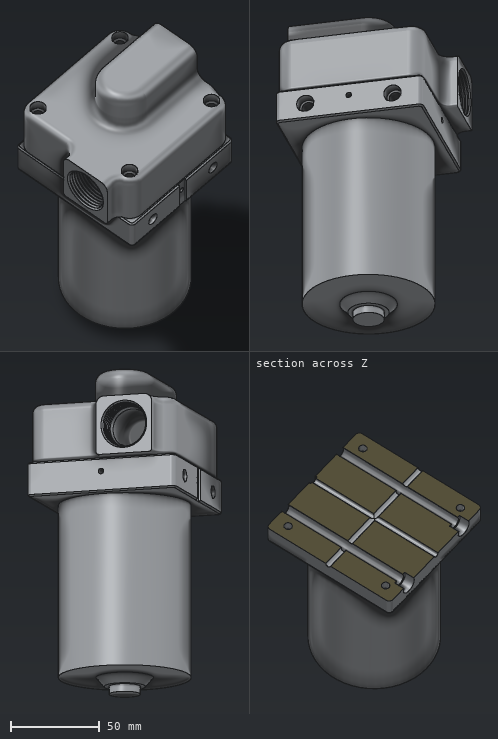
import cadquery as cq
import math


HEAD_HALF_X = 43.0
BACK_Y = 42.8
HEAD_HEIGHT = 33.4
HEAD_CORNER_R = 9.0
HEAD_TOP_R = 4.6
HEAD_BOTTOM_R = 1.7
FLARE_R = 5.9
TRIM_MARGIN = 11.0

BOSS_WIDTH = 33.0
BOSS_FRONT_Y = -51.6
PORT_X = BOSS_WIDTH / 2
PORT_Z = HEAD_HEIGHT / 2
PORT_MOUTH_D = 27.1
PORT_BORE_D = 22.5
PORT_DEPTH = 36.9
PORT_FLOOR_R = 3.1
THREAD_PITCH = 1.8
THREAD_COUNT = 8
THREAD_HEIGHT = 1.0
THREAD_TAPER = 0.1

DOME_HALF_WIDTH = 16.6
DOME_HEIGHT = 23.2
DOME_R = 6.5

PLATE_LENGTH_X = 88.0
PLATE_LENGTH_Y = 2 * BACK_Y
PLATE_THICKNESS = 19.5
PLATE_CORNER_R = 2.8
PLATE_CHAMFER = 1.0
NOTCH_WIDTH = 5.5
NOTCH_DEPTH = 1.1

SPIGOT_R = 30.6
SPIGOT_HEIGHT = 8.5
RECESS_DEPTH = 9.5

MOUNT_SPACING = 50.7
MOUNT_HOLE_D = 7.0
MOUNT_CBORE_D = 10.0
MOUNT_CBORE_DEPTH = 6.5
VENT_D = 3.1
VENT_Z = -7.7

SCREW_SPACING = 69.2
SCREW_CBORE_D = 9.2
SCREW_CBORE_DEPTH = 5.7
SCREW_CLEARANCE_D = 5.5
SCREW_TAP_D = 4.5
SCREW_TAP_DEPTH = 14.8

BOWL_R = 37.5
BOWL_LENGTH = 98.7
CONE_TOP_R = 16.2
CONE_BOTTOM_R = 11.6
CONE_HEIGHT = 5.2
DRAIN_R = 8.9
DRAIN_LENGTH = 4.5


def head_outline():
    """Rounded block with a flared boss at the front and a wider one at the back, both too long."""
    front_end = BOSS_FRONT_Y - TRIM_MARGIN
    back_end = BACK_Y + TRIM_MARGIN
    diagonal = math.sqrt(0.5)
    corner_x = HEAD_HALF_X - HEAD_CORNER_R
    corner_y = BACK_Y - HEAD_CORNER_R
    corner_mid_x = corner_x + HEAD_CORNER_R * diagonal
    corner_mid_y = corner_y + HEAD_CORNER_R * diagonal
    back_half = corner_x - FLARE_R
    flare_y = BACK_Y + FLARE_R
    flare_mid = FLARE_R * (1 - diagonal)

    flare_x = BOSS_WIDTH + FLARE_R
    reach = HEAD_CORNER_R + FLARE_R
    right_flare_y = -corner_y - math.sqrt(reach**2 - (flare_x - corner_x) ** 2)
    touch_angle = math.atan2(right_flare_y + corner_y, flare_x - corner_x)
    touch = (
        corner_x + HEAD_CORNER_R * math.cos(touch_angle),
        -corner_y + HEAD_CORNER_R * math.sin(touch_angle),
    )
    corner_angle = touch_angle / 2
    right_corner_mid = (
        corner_x + HEAD_CORNER_R * math.cos(corner_angle),
        -corner_y + HEAD_CORNER_R * math.sin(corner_angle),
    )
    flare_angle = touch_angle / 2 + math.pi
    right_flare_mid = (
        flare_x + FLARE_R * math.cos(flare_angle),
        right_flare_y + FLARE_R * math.sin(flare_angle),
    )

    return (
        cq.Workplane("XY")
        .moveTo(0, front_end)
        .lineTo(BOSS_WIDTH, front_end)
        .lineTo(BOSS_WIDTH, right_flare_y)
        .threePointArc(right_flare_mid, touch)
        .threePointArc(right_corner_mid, (HEAD_HALF_X, -corner_y))
        .lineTo(HEAD_HALF_X, corner_y)
        .threePointArc((corner_mid_x, corner_mid_y), (corner_x, BACK_Y))
        .threePointArc((back_half + flare_mid, BACK_Y + flare_mid), (back_half, flare_y))
        .lineTo(back_half, back_end)
        .lineTo(-back_half, back_end)
        .lineTo(-back_half, flare_y)
        .threePointArc((-back_half - flare_mid, BACK_Y + flare_mid), (-corner_x, BACK_Y))
        .threePointArc((-corner_mid_x, corner_mid_y), (-HEAD_HALF_X, corner_y))
        .lineTo(-HEAD_HALF_X, -corner_y)
        .threePointArc((-corner_mid_x, -corner_mid_y), (-corner_x, -BACK_Y))
        .lineTo(-FLARE_R, -BACK_Y)
        .threePointArc((-flare_mid, -BACK_Y - flare_mid), (0, -flare_y))
        .close()
    )


def dome_half_section():
    """Section of the dome from the main axis outwards, with its concave foot on the head."""
    shoulder = DOME_HALF_WIDTH - DOME_R
    foot = DOME_HALF_WIDTH + DOME_R
    rise = DOME_R * math.sqrt(0.5)
    top_z = HEAD_HEIGHT + DOME_HEIGHT
    low_z = HEAD_HEIGHT + DOME_R
    return (
        cq.Workplane("XZ")
        .moveTo(0, HEAD_HEIGHT - RECESS_DEPTH)
        .lineTo(0, top_z)
        .lineTo(shoulder, top_z)
        .threePointArc((shoulder + rise, top_z - DOME_R + rise), (DOME_HALF_WIDTH, top_z - DOME_R))
        .lineTo(DOME_HALF_WIDTH, low_z)
        .threePointArc((foot - rise, low_z - rise), (foot, HEAD_HEIGHT))
        .lineTo(foot, HEAD_HEIGHT - RECESS_DEPTH)
        .close()
    )


def dome():
    """Ridge along Y from the back face, with a round nose centred on the main axis."""
    nose = dome_half_section().revolve(360, (0, 0), (0, 1))
    half_ridge = dome_half_section().extrude(-BACK_Y)
    return nose.union(half_ridge).union(half_ridge.mirror("YZ"))


def port_cutter():
    """Bore along Y with a tapering row of ring grooves and a rounded floor."""
    mouth_r = PORT_MOUTH_D / 2
    bore_r = PORT_BORE_D / 2
    floor_mid = PORT_FLOOR_R * (1 - math.sqrt(0.5))
    profile = cq.Workplane("XY")
    for groove in range(THREAD_COUNT):
        root_r = mouth_r - groove * THREAD_TAPER
        start = groove * THREAD_PITCH
        profile = profile.lineTo(root_r, start).lineTo(root_r - THREAD_HEIGHT, start + THREAD_PITCH / 2)
    profile = (
        profile.lineTo(bore_r, THREAD_COUNT * THREAD_PITCH)
        .lineTo(bore_r, PORT_DEPTH - PORT_FLOOR_R)
        .threePointArc(
            (bore_r - floor_mid, PORT_DEPTH - floor_mid),
            (bore_r - PORT_FLOOR_R, PORT_DEPTH),
        )
        .lineTo(0, PORT_DEPTH)
        .close()
    )
    return profile.revolve(360, (0, 0), (0, 1)).translate((PORT_X, BOSS_FRONT_Y, PORT_Z))


def at_screws(diameter, bottom_z, top_z):
    """Vertical cylinders at the four corner screws."""
    return (
        cq.Workplane("XY", origin=(0, 0, bottom_z))
        .rect(SCREW_SPACING, SCREW_SPACING, forConstruction=True)
        .vertices()
        .circle(diameter / 2)
        .extrude(top_z - bottom_z)
    )


def make_head():
    block = head_outline().extrude(HEAD_HEIGHT)
    block = block.faces(">Z").edges().fillet(HEAD_TOP_R)
    block = block.faces("<Z").edges().fillet(HEAD_BOTTOM_R)
    depth = BACK_Y - BOSS_FRONT_Y
    trim = cq.Workplane("XY").box(2 * PLATE_LENGTH_X, depth, 2 * HEAD_HEIGHT)
    trim = trim.translate((0, (BACK_Y + BOSS_FRONT_Y) / 2, HEAD_HEIGHT / 2))
    head = block.intersect(trim).union(dome())
    head = head.cut(cq.Workplane("XY").circle(SPIGOT_R).extrude(RECESS_DEPTH))
    head = head.cut(port_cutter())
    clearances = at_screws(SCREW_CLEARANCE_D, 0, HEAD_HEIGHT)
    cbores = at_screws(SCREW_CBORE_D, HEAD_HEIGHT - SCREW_CBORE_DEPTH, HEAD_HEIGHT)
    return head.cut(clearances).cut(cbores)


def make_plate():
    plate = (
        cq.Workplane("XY")
        .rect(PLATE_LENGTH_X, PLATE_LENGTH_Y)
        .extrude(-PLATE_THICKNESS)
        .edges("|Z")
        .fillet(PLATE_CORNER_R)
        .faces("<Z or >Z")
        .edges()
        .chamfer(PLATE_CHAMFER)
    )
    plate = plate.union(cq.Workplane("XY").circle(SPIGOT_R).extrude(SPIGOT_HEIGHT))
    return cut_plate_holes(plate)


def cut_plate_holes(plate):
    side = cq.Workplane("YZ", origin=(-PLATE_LENGTH_X / 2, 0, 0))
    mount_points = [(y, -PLATE_THICKNESS / 2) for y in (-MOUNT_SPACING / 2, MOUNT_SPACING / 2)]
    mounts = side.pushPoints(mount_points).circle(MOUNT_HOLE_D / 2).extrude(PLATE_LENGTH_X)
    cbores = side.pushPoints(mount_points).circle(MOUNT_CBORE_D / 2).extrude(MOUNT_CBORE_DEPTH)

    vent_x = side.center(0, VENT_Z).circle(VENT_D / 2).extrude(PLATE_LENGTH_X)
    vent_y = (
        cq.Workplane("XZ", origin=(0, 0, VENT_Z))
        .circle(VENT_D / 2)
        .extrude(PLATE_LENGTH_Y / 2, both=True)
    )

    taps = at_screws(SCREW_TAP_D, -SCREW_TAP_DEPTH, 0)

    notch = (
        cq.Workplane("XY", origin=(PLATE_LENGTH_X / 2, 0, 0))
        .rect(2 * NOTCH_DEPTH, NOTCH_WIDTH)
        .extrude(-PLATE_THICKNESS)
    )

    for cutter in (mounts, cbores, vent_x, vent_y, taps, notch):
        plate = plate.cut(cutter)
    return plate


def make_bowl():
    """Cylindrical bowl with a conical bottom boss and a drain stub, revolved about Z."""
    top_z = -PLATE_THICKNESS
    bowl_z = top_z - BOWL_LENGTH
    cone_z = bowl_z - CONE_HEIGHT
    drain_z = cone_z - DRAIN_LENGTH
    return (
        cq.Workplane("YZ")
        .polyline([
            (0, top_z),
            (-BOWL_R, top_z),
            (-BOWL_R, bowl_z),
            (-CONE_TOP_R, bowl_z),
            (-CONE_BOTTOM_R, cone_z),
            (-DRAIN_R, cone_z),
            (-DRAIN_R, drain_z),
            (0, drain_z),
        ])
        .close()
        .revolve(360, (0, 0), (0, 1))
    )


head = make_head()
plate = make_plate()
bowl = make_bowl()

result = cq.Compound.makeCompound([head.val(), plate.val(), bowl.val()])